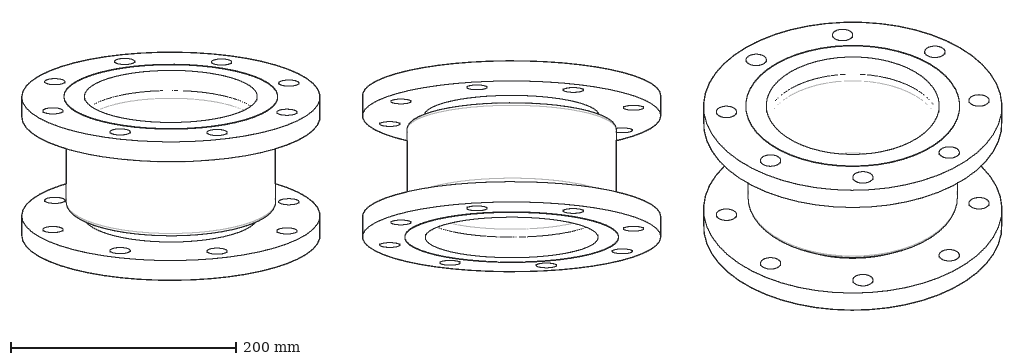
import cadquery as cq
import math

overall_height = 130.0
bore_diameter = 153.6

flange_diameter = 265.0
flange_thickness = 18.5
raised_face_diameter = 190.0
raised_face_height = 0.5

bolt_hole_count = 8
bolt_hole_diameter = 18.0
bolt_circle_diameter = 225.0

neck_diameter = 155.6
body_diameter = 186.0
body_height = 72.5
body_edge_radius = 3.0
neck_fillet_radius = 2.5

bore_radius = bore_diameter / 2
flange_radius = flange_diameter / 2
raised_face_radius = raised_face_diameter / 2
neck_radius = neck_diameter / 2
body_radius = body_diameter / 2
half_height = overall_height / 2
half_body_height = body_height / 2
flange_outer_z = half_height - raised_face_height
flange_inner_z = flange_outer_z - flange_thickness


def make_revolved_body():
    """Revolve the full section: bore, body, necks, flanges and raised faces, all sharp-edged."""
    upper_outline = [
        (body_radius, half_body_height),
        (neck_radius, half_body_height),
        (neck_radius, flange_inner_z),
        (flange_radius, flange_inner_z),
        (flange_radius, flange_outer_z),
        (raised_face_radius, flange_outer_z),
        (raised_face_radius, half_height),
        (bore_radius, half_height),
    ]
    lower_outline = [(radius, -z) for radius, z in reversed(upper_outline)]
    section = cq.Workplane("XZ").polyline(upper_outline + lower_outline).close()
    return section.revolve(360, (0, 0, 0), (0, 1, 0))


def fillet_body_end_circles(solid, circle_radius, fillet_radius):
    """Round the circles of the given radius that lie on the two end faces of the body."""

    def is_body_end_circle(edge):
        return (
            edge.geomType() == "CIRCLE"
            and math.isclose(edge.radius(), circle_radius)
            and math.isclose(abs(edge.Center().z), half_body_height)
        )

    return solid.edges().filter(is_body_end_circle).fillet(fillet_radius)


def make_bolt_holes():
    """Cutters for the bolt holes of both flanges."""
    half_pitch_angle = 180 / bolt_hole_count
    return (
        cq.Workplane("XY")
        .workplane(offset=-half_height)
        .polarArray(bolt_circle_diameter / 2, half_pitch_angle, 360, bolt_hole_count)
        .circle(bolt_hole_diameter / 2)
        .extrude(overall_height)
    )


result = make_revolved_body()
result = fillet_body_end_circles(result, body_radius, body_edge_radius)
result = fillet_body_end_circles(result, neck_radius, neck_fillet_radius)
result = result.cut(make_bolt_holes())